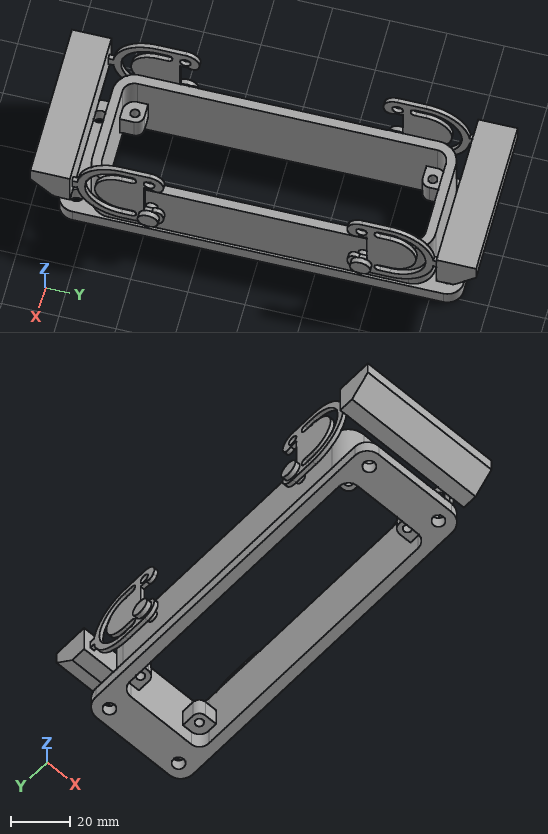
import cadquery as cq
import math

overall_length = 156.0
bar_length = 57.0

flange_length = 141.3
flange_width = 45.0
flange_height = 5.8
flange_corner_radius = 5.8
flange_hole_radius = 2.3
flange_hole_x = 15.9
flange_hole_y = 65.0

frame_length = 120.1
frame_width = 43.0
frame_top = 29.6
frame_corner_radius = 7.6
wall_thickness = 3.5
opening_length = frame_length - 2 * wall_thickness
opening_width = frame_width - 2 * wall_thickness
opening_corner_radius = frame_corner_radius - wall_thickness

post_size = 8.0
post_bottom = 8.3
post_top = 17.3
post_corner_radius = 3.0
post_hole_radius = 1.5
post_hole_inset = 4.5

plate_thickness = 1.7
plate_outer_x = 25.6
bow_radius = 15.5
bow_center_y = 47.0
bow_center_z = 30.1
eye_radius = 5.0
eye_hole_radius = 1.9
eye_y = 37.1
eye_offset_z = bow_radius - eye_radius
plate_edge_y = eye_y + 1.9

notch_drop = 3.0
notch_reach = 1.0
tip_drop = 3.6
tip_reach = 2.3
hook_end_angle = math.radians(26)

slot_outer_radius = 12.6
slot_inner_radius = 9.2
slot_mid_radius = (slot_outer_radius + slot_inner_radius) / 2
slot_end_radius = (slot_outer_radius - slot_inner_radius) / 2
slot_end_y = 43.4

pin_radius = 2.0
pin_head_radius = 3.6
pin_head_outer_x = 27.6
pin_z = bow_center_z - eye_offset_z

bar_depth = 13.9
bar_top = 38.0
bar_bottom = 24.0
bar_bevel_depth = 8.0
bar_bevel_height = 8.0
bar_outer_y = overall_length / 2
bar_inner_y = bar_outer_y - bar_depth
stem_height = 3.7


def rounded_block(width, length, bottom, top, radius):
    """Upright block centred on the Z axis with rounded vertical edges."""
    block = cq.Workplane("XY").workplane(offset=bottom).rect(width, length).extrude(top - bottom)
    return block.edges("|Z").fillet(radius)


def four_points(x, y):
    """The point (x, y) and its mirror images about both axes."""
    return [(sx * x, sy * y) for sx in (-1, 1) for sy in (-1, 1)]


def make_frame():
    """Flange and walls around one through opening, with the mounting holes."""
    flange = rounded_block(flange_width, flange_length, 0, flange_height, flange_corner_radius)
    walls = rounded_block(frame_width, frame_length, 0, frame_top, frame_corner_radius)
    opening = rounded_block(opening_width, opening_length, 0, frame_top, opening_corner_radius)
    mounting_holes = (
        cq.Workplane("XY")
        .pushPoints(four_points(flange_hole_x, flange_hole_y))
        .circle(flange_hole_radius)
        .extrude(flange_height)
    )
    return flange.union(walls).cut(opening).cut(mounting_holes)


def make_posts():
    """Four posts sunk into the wall corners, and the screw holes that run through them."""
    height = post_top - post_bottom
    corner_x = opening_width / 2
    corner_y = opening_length / 2
    sunk_size = post_size + frame_corner_radius
    center_offset = post_size - sunk_size / 2
    base = cq.Workplane("XY").workplane(offset=post_bottom)
    blocks = (
        base.pushPoints(four_points(corner_x - center_offset, corner_y - center_offset))
        .rect(sunk_size, sunk_size)
        .extrude(height)
        .edges("|Z")
        .fillet(post_corner_radius)
    )
    envelope = rounded_block(frame_width, frame_length, post_bottom, post_top, frame_corner_radius)
    holes = (
        base.pushPoints(four_points(corner_x - post_hole_inset, corner_y - post_hole_inset))
        .circle(post_hole_radius)
        .extrude(height)
    )
    return blocks.intersect(envelope), holes


def make_side_plate():
    """Side plate at +X, +Y: bow, two hooked eyes, curved slot, and stem to the bar."""
    inner_x = plate_outer_x - plate_thickness
    plane = cq.Workplane("YZ", origin=(inner_x, 0, bow_center_z))

    eye_side_y = eye_y - eye_radius * math.cos(math.pi / 4)
    eye_side_z = eye_offset_z + eye_radius * math.sin(math.pi / 4)
    hook_end_y = eye_y - eye_radius * math.cos(hook_end_angle)
    hook_end_z = eye_offset_z - eye_radius * math.sin(hook_end_angle)
    tip = (eye_y - tip_reach, eye_offset_z - tip_drop)
    notch_y = eye_y - notch_reach
    notch_z = eye_offset_z - notch_drop

    def below(point):
        return (point[0], -point[1])

    eye_top = (eye_y, bow_radius)
    eye_side = (eye_side_y, eye_side_z)
    hook_end = (hook_end_y, hook_end_z)
    notch_end = (notch_y, notch_z)
    notch_root = (plate_edge_y, notch_z)
    bow_start = (bow_center_y, bow_radius)
    bow_middle = (bow_center_y + bow_radius, 0)

    plate = (
        plane.moveTo(*notch_root)
        .lineTo(*notch_end)
        .threePointArc(tip, hook_end)
        .threePointArc(eye_side, eye_top)
        .lineTo(*bow_start)
        .threePointArc(bow_middle, below(bow_start))
        .lineTo(*below(eye_top))
        .threePointArc(below(eye_side), below(hook_end))
        .threePointArc(below(tip), below(notch_end))
        .lineTo(*below(notch_root))
        .close()
        .extrude(plate_thickness)
    )
    slot = (
        plane.moveTo(slot_end_y, slot_outer_radius)
        .lineTo(bow_center_y, slot_outer_radius)
        .threePointArc((bow_center_y + slot_outer_radius, 0), (bow_center_y, -slot_outer_radius))
        .lineTo(slot_end_y, -slot_outer_radius)
        .threePointArc((slot_end_y - slot_end_radius, -slot_mid_radius), (slot_end_y, -slot_inner_radius))
        .lineTo(bow_center_y, -slot_inner_radius)
        .threePointArc((bow_center_y + slot_inner_radius, 0), (bow_center_y, slot_inner_radius))
        .lineTo(slot_end_y, slot_inner_radius)
        .threePointArc((slot_end_y - slot_end_radius, slot_mid_radius), (slot_end_y, slot_outer_radius))
        .close()
        .extrude(plate_thickness)
    )
    eye_hole = plane.center(eye_y, eye_offset_z).circle(eye_hole_radius).extrude(plate_thickness)

    stem_start = bow_center_y + (slot_outer_radius + bow_radius) / 2
    stem_length = bar_inner_y - stem_start
    stem = (
        plane.center(stem_start + stem_length / 2, 0)
        .rect(stem_length, stem_height)
        .extrude(plate_thickness)
    )
    return plate.cut(slot).cut(eye_hole).union(stem)


def make_pin():
    """Headed pin at +X, +Y, running from inside the frame wall through the plate."""
    root_x = frame_width / 2 - wall_thickness / 2
    shaft = (
        cq.Workplane("YZ", origin=(root_x, eye_y, pin_z))
        .circle(pin_radius)
        .extrude(pin_head_outer_x - root_x)
    )
    head = (
        cq.Workplane("YZ", origin=(plate_outer_x, eye_y, pin_z))
        .circle(pin_head_radius)
        .extrude(pin_head_outer_x - plate_outer_x)
    )
    return shaft.union(head)


def make_bar():
    """Handle bar at +Y with its lower outer edge bevelled."""
    profile = [
        (bar_inner_y, bar_bottom),
        (bar_outer_y - bar_bevel_depth, bar_bottom),
        (bar_outer_y, bar_bottom + bar_bevel_height),
        (bar_outer_y, bar_top),
        (bar_inner_y, bar_top),
    ]
    return cq.Workplane("YZ").polyline(profile).close().extrude(bar_length / 2, both=True)


lever_side = make_side_plate().union(make_pin())
lever = make_bar().union(lever_side).union(lever_side.mirror("YZ"))

posts, post_holes = make_posts()
frame = make_frame().union(posts).cut(post_holes)
result = frame.union(lever).union(lever.mirror("XZ"))